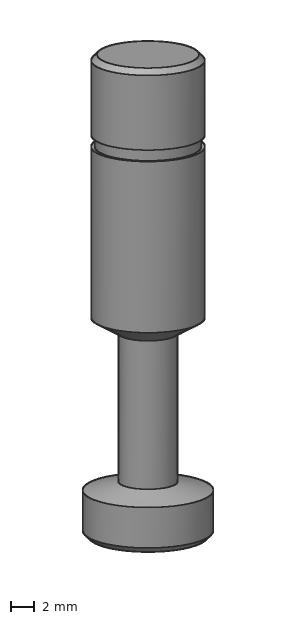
import cadquery as cq

total_length = 42.0
head_diameter = 11.0
stem_diameter = 5.0
body_diameter = 9.58
groove_diameter = 9.0

head_rim_top = 4.05
head_cone_top = 4.8
body_cone_bottom = 17.72
body_cone_top = 19.05
groove_bottom = 33.98
groove_width = 1.0

edge_chamfer = 0.5

head_radius = head_diameter / 2
stem_radius = stem_diameter / 2
body_radius = body_diameter / 2
groove_radius = groove_diameter / 2
groove_top = groove_bottom + groove_width

half_section = [
    (0, 0),
    (head_radius - edge_chamfer, 0),
    (head_radius, edge_chamfer),
    (head_radius, head_rim_top),
    (stem_radius, head_cone_top),
    (stem_radius, body_cone_bottom),
    (body_radius, body_cone_top),
    (body_radius, groove_bottom),
    (groove_radius, groove_bottom),
    (groove_radius, groove_top),
    (body_radius, groove_top),
    (body_radius, total_length - edge_chamfer),
    (body_radius - edge_chamfer, total_length),
    (0, total_length),
]

result = cq.Workplane("XZ").polyline(half_section).close().revolve(360, (0, 0), (0, 1))